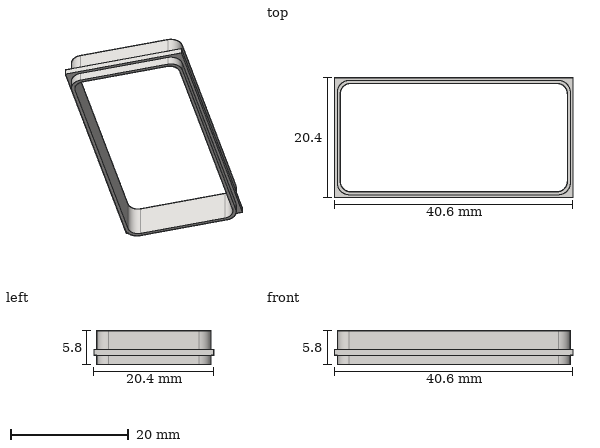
import cadquery as cq

flange_length = 40.6
flange_width = 20.45
flange_thickness = 1.0
flange_overhang = 0.5

total_height = 5.8
height_below_flange = 1.6
wall_thickness = 0.53
outer_corner_radius = 2.05
inner_corner_radius = 1.75

sleeve_length = flange_length - 2 * flange_overhang
sleeve_width = flange_width - 2 * flange_overhang
opening_length = sleeve_length - 2 * wall_thickness
opening_width = sleeve_width - 2 * wall_thickness


def rounded_block(length, width, corner_radius):
    """Full-height block with rounded vertical edges, standing on Z = 0."""
    block = cq.Workplane("XY").rect(length, width).extrude(total_height)
    return block.edges("|Z").fillet(corner_radius)


sleeve = rounded_block(sleeve_length, sleeve_width, outer_corner_radius)
opening = rounded_block(opening_length, opening_width, inner_corner_radius)
flange = (
    cq.Workplane("XY")
    .workplane(offset=height_below_flange)
    .rect(flange_length, flange_width)
    .extrude(flange_thickness)
)

result = sleeve.union(flange).cut(opening)